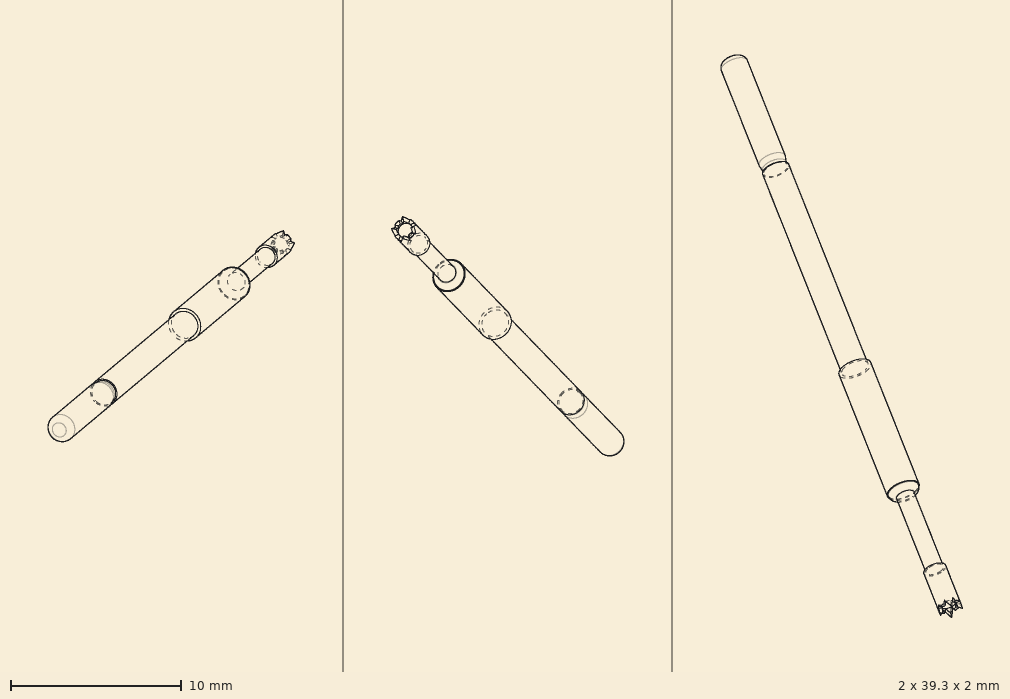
import cadquery as cq
import math

total_length = 39.3
tip_y = total_length / 2
tail_y = -total_length / 2

collar_diameter = 2.0
nose_diameter = 1.9
body_diameter = 1.65
head_diameter = 1.38
neck_diameter = 1.1

head_length = 3.03
neck_length = 5.25
collar_length = 9.05
nose_length = 0.4
body_length = total_length - head_length - neck_length - collar_length

nose_round = 0.35
tail_round = 0.4

groove_start = 31.5
groove_width = 0.63
groove_floor_width = 0.25
groove_depth = 0.08

tall_tooth_count = 4
tooth_pitch = 180 / tall_tooth_count
cuts_across = tall_tooth_count // 2
notch_depth = 0.55
short_tooth_drop = 0.35
crown_bore_diameter = 0.9


def cylinder(diameter, start_y, length):
    """Solid cylinder along Y, running from start_y towards the tail."""
    return cq.Workplane("XZ", origin=(0, start_y, 0)).circle(diameter / 2).extrude(length)


def make_collar():
    """Collar with a slightly narrower, rounded nose facing the tip."""
    nose_y = tip_y - head_length - neck_length
    nose = cylinder(nose_diameter, nose_y, nose_length).faces(">Y").edges().fillet(nose_round)
    return nose.union(cylinder(collar_diameter, nose_y - nose_length, collar_length - nose_length))


def make_body():
    body = cylinder(body_diameter, tail_y + body_length, body_length)
    return body.faces("<Y").edges().fillet(tail_round)


def make_groove():
    """Ring to be removed from the body."""
    outer_radius = body_diameter / 2
    floor_radius = outer_radius - groove_depth
    start_y = tip_y - groove_start
    floor_end_y = start_y - groove_floor_width
    end_y = start_y - groove_width
    return (
        cq.Workplane("XY")
        .moveTo(outer_radius, start_y)
        .lineTo(floor_radius, start_y)
        .lineTo(floor_radius, floor_end_y)
        .lineTo(outer_radius, end_y)
        .close()
        .revolve(360, (0, 0, 0), (0, 1, 0))
    )


def cut_across(head, cutter, first_angle):
    """Cut a cutter straight across the tip at evenly spaced angles around Y."""
    for index in range(cuts_across):
        angle = first_angle + index * 180 / cuts_across
        head = head.cut(cutter.rotate((0, 0, 0), (0, 1, 0), angle))
    return head


def cut_crown(head):
    """Leave tall pointed teeth and short flat teeth by turns around a bored tip."""
    notch_width = head_diameter * math.sin(math.radians(tooth_pitch / 2))
    notch = (
        cq.Workplane("XY")
        .moveTo(-notch_width / 2, tip_y)
        .lineTo(0, tip_y - notch_depth)
        .lineTo(notch_width / 2, tip_y)
        .close()
        .extrude(head_diameter, both=True)
    )
    trimmer = (
        cq.Workplane("XY", origin=(0, tip_y, 0))
        .rect(notch_width, 2 * short_tooth_drop)
        .extrude(head_diameter, both=True)
    )
    head = cut_across(head, notch, tooth_pitch / 2)
    head = cut_across(head, notch, -tooth_pitch / 2)
    head = cut_across(head, trimmer, tooth_pitch)
    return head.cut(cylinder(crown_bore_diameter, tip_y, notch_depth))


head = cut_crown(cylinder(head_diameter, tip_y, head_length))
neck = cylinder(neck_diameter, tip_y - head_length, neck_length)
body = make_body().cut(make_groove())

result = head.union(neck).union(make_collar()).union(body)